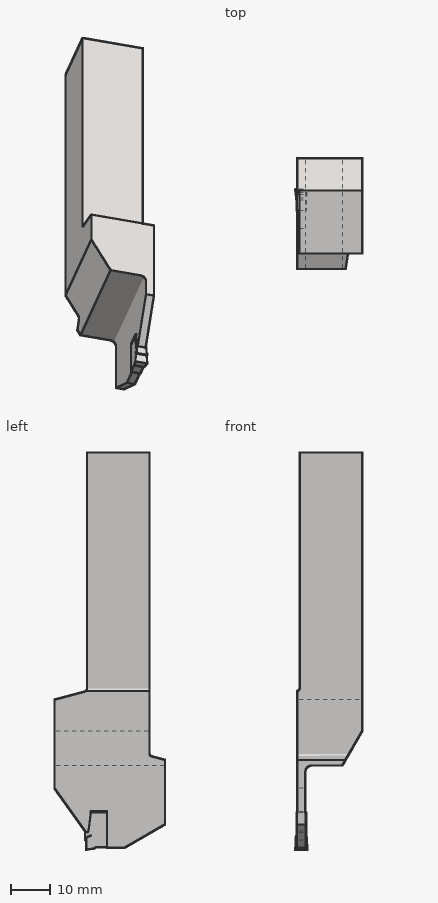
import cadquery as cq
import math

TOTAL_HEIGHT = 101.4
SHANK_SIZE = 16.0
SIDE_STEP = 0.6
STEP_FILLET = 0.6

HEAD_BACK = -4.0
HEAD_FRONT = 24.3
HEAD_BOTTOM = 0.5
SHOULDER_ANGLE = math.radians(15)
FRONT_SHOULDER_Z = 40.5
BACK_SHOULDER_Z = 24.0
FRONT_SLOPE_Z = 15.7
NOSE_Y = 16.5
NOSE_Z = 4.8
BACK_SLOPE_Z = 6.5
BACK_SLOPE_FOOT_Y = 6.4

BLADE_THICKNESS = 2.1
BLADE_RIGHT = BLADE_THICKNESS - SIDE_STEP
BLADE_CENTRE = BLADE_RIGHT - BLADE_THICKNESS / 2
BLADE_TOP = 21.5
BLADE_FILLET = 1.6
HEAD_CHAMFER_Z = 30.3
HEAD_CHAMFER_ANGLE = math.radians(60)

INSERT_THICKNESS = 2.5
TIP_WIDTH = 3.1
INSERT_BACK = 10.9
INSERT_TOP = 9.5
INSERT_BOTTOM = 0.6
INSERT_TOP_FRONT_Y = 15.0
JAW_Y = 15.6
JAW_LIP_Y = 15.9
JAW_LIP_Z = 4.5
RAKE_TOP_Z = 2.5
CUTTING_EDGE_Y = 16.2
TIP_HEEL_Y = 14.2
TIP_HEEL_Z = 0.3
POCKET_CLEARANCE = 0.3

FLANK_FOOT_Y = 13.7
FLANK_TOP_Y = 15.0
FLANK_TOP_Z = 3.6


def side_prism(points, x_start, x_end):
    """Extrude a (Y, Z) outline from x_start to x_end."""
    plane = cq.Workplane("YZ").workplane(offset=x_start)
    return plane.polyline(points).close().extrude(x_end - x_start)


def make_body_blank():
    """Shank and full-width head with fillets where they meet."""
    front_drop = (HEAD_FRONT - SHANK_SIZE) * math.tan(SHOULDER_ANGLE)
    back_drop = -HEAD_BACK * math.tan(SHOULDER_ANGLE)
    blank = side_prism(
        [
            (0, TOTAL_HEIGHT),
            (SHANK_SIZE, TOTAL_HEIGHT),
            (SHANK_SIZE, FRONT_SHOULDER_Z),
            (HEAD_FRONT, FRONT_SHOULDER_Z - front_drop),
            (HEAD_FRONT, FRONT_SLOPE_Z),
            (NOSE_Y, NOSE_Z),
            (NOSE_Y, HEAD_BOTTOM),
            (BACK_SLOPE_FOOT_Y, HEAD_BOTTOM),
            (HEAD_BACK, BACK_SLOPE_Z),
            (HEAD_BACK, BACK_SHOULDER_Z - back_drop),
            (0, BACK_SHOULDER_Z),
        ],
        -SIDE_STEP,
        SHANK_SIZE,
    )
    for y, z in ((SHANK_SIZE, FRONT_SHOULDER_Z), (0, BACK_SHOULDER_Z)):
        corner = ((SHANK_SIZE - SIDE_STEP) / 2, y, z)
        blank = blank.edges(cq.selectors.NearestToPointSelector(corner)).fillet(STEP_FILLET)
    return blank


def cut_side_step(body):
    """Relieve the -X side of the shank, ending in a concave quarter round on the head."""
    step_top = FRONT_SHOULDER_Z + STEP_FILLET
    mid = STEP_FILLET * (1 - math.sqrt(0.5))
    relief = (
        cq.Workplane("XZ", origin=(0, HEAD_FRONT, 0))
        .moveTo(-SIDE_STEP, FRONT_SHOULDER_Z)
        .threePointArc((-mid, FRONT_SHOULDER_Z + mid), (0, step_top))
        .lineTo(0, TOTAL_HEIGHT)
        .lineTo(-SIDE_STEP, TOTAL_HEIGHT)
        .close()
        .extrude(HEAD_FRONT - HEAD_BACK)
    )
    return body.cut(relief)


def cut_blade_relief(body):
    """Remove the +X material under the head, leaving the thin blade and its root fillet."""
    chamfer_run = (HEAD_CHAMFER_Z - BLADE_TOP) / math.tan(HEAD_CHAMFER_ANGLE)
    relief = (
        cq.Workplane("XZ", origin=(0, HEAD_FRONT, 0))
        .moveTo(BLADE_RIGHT, 0)
        .lineTo(BLADE_RIGHT, BLADE_TOP - BLADE_FILLET)
        .radiusArc((BLADE_RIGHT + BLADE_FILLET, BLADE_TOP), BLADE_FILLET)
        .lineTo(SHANK_SIZE - chamfer_run, BLADE_TOP)
        .lineTo(SHANK_SIZE, HEAD_CHAMFER_Z)
        .lineTo(SHANK_SIZE, 0)
        .close()
        .extrude(HEAD_FRONT - HEAD_BACK)
    )
    return body.cut(relief)


def cut_insert_pocket(body):
    """Open pocket through the blade that seats the insert, with clearance above it."""
    pocket_top = INSERT_TOP + POCKET_CLEARANCE
    pocket = side_prism(
        [
            (INSERT_BACK, 0),
            (INSERT_BACK, pocket_top),
            (INSERT_TOP_FRONT_Y, pocket_top),
            (INSERT_TOP_FRONT_Y, INSERT_TOP),
            (JAW_Y, NOSE_Z),
            (JAW_LIP_Y, JAW_LIP_Z),
            (NOSE_Y, NOSE_Z),
            (NOSE_Y, 0),
        ],
        -SIDE_STEP,
        BLADE_RIGHT,
    )
    return body.cut(pocket)


def make_holder():
    body = make_body_blank()
    body = cut_side_step(body)
    body = cut_blade_relief(body)
    return cut_insert_pocket(body)


def insert_outline(x_start, x_end):
    """Whole insert outline, including the pointed cutting tip."""
    return side_prism(
        [
            (INSERT_BACK, INSERT_BOTTOM),
            (INSERT_BACK, INSERT_TOP),
            (INSERT_TOP_FRONT_Y, INSERT_TOP),
            (JAW_Y, NOSE_Z),
            (JAW_LIP_Y, JAW_LIP_Z),
            (NOSE_Y, NOSE_Z),
            (NOSE_Y, RAKE_TOP_Z),
            (CUTTING_EDGE_Y, RAKE_TOP_Z),
            (CUTTING_EDGE_Y, 0),
            (TIP_HEEL_Y, TIP_HEEL_Z),
            (FLANK_FOOT_Y, INSERT_BOTTOM),
        ],
        x_start,
        x_end,
    )


def make_widened_tip():
    """Tip whose flanks spread from the flank line out to the full width at the cutting edge."""
    rise = FLANK_TOP_Z - INSERT_BOTTOM
    run = FLANK_TOP_Y - FLANK_FOOT_Y
    length = math.hypot(run, rise)
    reach = ((CUTTING_EDGE_Y - FLANK_FOOT_Y) * rise + INSERT_BOTTOM * run) / length
    wedge_plane = cq.Plane(
        origin=(BLADE_CENTRE, FLANK_FOOT_Y, INSERT_BOTTOM),
        xDir=(1, 0, 0),
        normal=(0, run, rise),
    )
    wedge = (
        cq.Workplane(wedge_plane)
        .polyline(
            [
                (-INSERT_THICKNESS / 2, 0),
                (INSERT_THICKNESS / 2, 0),
                (TIP_WIDTH / 2, reach),
                (-TIP_WIDTH / 2, reach),
            ]
        )
        .close()
        .extrude(length, both=True)
    )
    below_flank_top = side_prism(
        [
            (INSERT_BACK, 0),
            (INSERT_BACK, FLANK_TOP_Z),
            (NOSE_Y, FLANK_TOP_Z),
            (NOSE_Y, 0),
        ],
        BLADE_CENTRE - TIP_WIDTH,
        BLADE_CENTRE + TIP_WIDTH,
    )
    outline = insert_outline(BLADE_CENTRE - TIP_WIDTH, BLADE_CENTRE + TIP_WIDTH)
    return wedge.intersect(below_flank_top).intersect(outline)


def make_insert():
    half = INSERT_THICKNESS / 2
    body = insert_outline(BLADE_CENTRE - half, BLADE_CENTRE + half)
    return body.union(make_widened_tip())


holder = make_holder()
insert = make_insert()
result = cq.Compound.makeCompound([holder.solids().val(), insert.solids().val()])